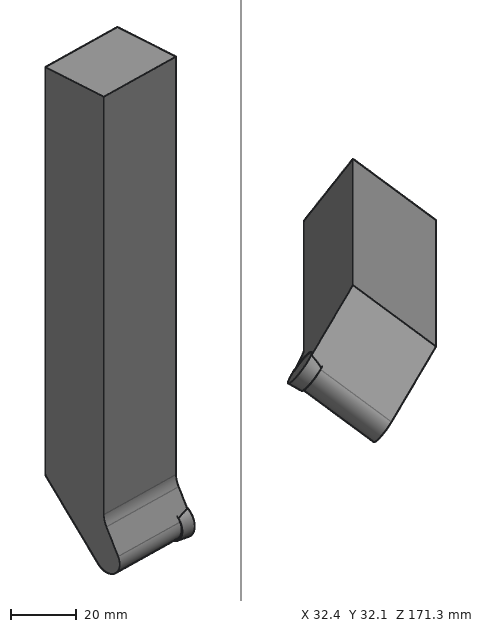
import cadquery as cq
import math

shank_width = 24.7
shank_depth = 31.9
top_height = 171.3

insert_radius = 6.0
insert_thickness = 4.8
insert_proud = 0.2
relief_angle = 7.0
overall_width = 32.4
insert_x = overall_width - insert_radius
insert_z = insert_radius

nose_radius = 5.3
nose_overhang = 1.0
nose_x = overall_width - nose_overhang - nose_radius
nose_z = nose_overhang + nose_radius
left_slope_angle = 45.0
right_slope_angle = 60.0
neck_fillet = 7.9


def nose_point(angle):
    """Point on the nose arc at an angle in degrees from +X."""
    a = math.radians(angle)
    return nose_x + nose_radius * math.cos(a), nose_z + nose_radius * math.sin(a)


def make_insert():
    """Round insert whose side tapers inward from its +Y face."""
    base_radius = insert_radius - insert_thickness * math.tan(math.radians(relief_angle))
    face_y = shank_depth + insert_proud
    seat_y = face_y - insert_thickness
    half_section = [
        (insert_x, seat_y),
        (insert_x + base_radius, seat_y),
        (insert_x + insert_radius, face_y),
        (insert_x, face_y),
    ]
    return (
        cq.Workplane("XY", origin=(0, 0, insert_z))
        .polyline(half_section)
        .close()
        .revolve(360, (insert_x, 0), (insert_x, 1))
    )


def make_holder(insert):
    """Square shank with an angled neck, a round nose and a seat for the insert."""
    left_angle = 270 - left_slope_angle
    right_angle = 90 - right_slope_angle
    left_tangent = nose_point(left_angle)
    right_tangent = nose_point(right_angle)
    nose_middle = nose_point((left_angle + right_angle - 360) / 2)
    left_corner_z = left_tangent[1] + left_tangent[0] * math.tan(math.radians(left_slope_angle))
    right_run = right_tangent[0] - shank_width
    right_corner_z = right_tangent[1] + right_run * math.tan(math.radians(right_slope_angle))

    body = (
        cq.Workplane("XZ")
        .moveTo(0, top_height)
        .lineTo(0, left_corner_z)
        .lineTo(*left_tangent)
        .threePointArc(nose_middle, right_tangent)
        .lineTo(shank_width, right_corner_z)
        .lineTo(shank_width, top_height)
        .close()
        .extrude(-shank_depth)
    )
    neck_corner = cq.selectors.NearestToPointSelector((shank_width, shank_depth / 2, right_corner_z))
    body = body.edges("|Y").edges(neck_corner).fillet(neck_fillet)
    return body.cut(insert)


insert = make_insert()
holder = make_holder(insert)
result = cq.Compound.makeCompound([holder.val(), insert.val()])